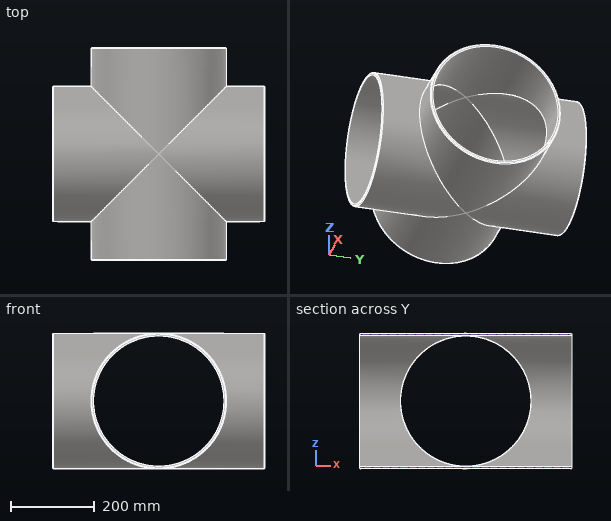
import cadquery as cq

outer_diameter = 323.85
wall = 6.35
overall_length = 508.0

bevel = wall / 3

outer_radius = outer_diameter / 2
inner_radius = outer_radius - wall


def outer_run(normal_plane):
    """Solid run through the centre, along the plane's normal, bevelled at both ends."""
    return (
        cq.Workplane(normal_plane)
        .circle(outer_radius)
        .extrude(overall_length / 2, both=True)
        .edges("%CIRCLE")
        .chamfer(bevel)
    )


def bore(normal_plane):
    """Straight bore through the full length of a run, along the plane's normal."""
    return (
        cq.Workplane(normal_plane)
        .circle(inner_radius)
        .extrude(overall_length / 2, both=True)
    )


x_run_plane = "YZ"
y_run_plane = "XZ"

body = outer_run(x_run_plane).union(outer_run(y_run_plane))
result = body.cut(bore(x_run_plane)).cut(bore(y_run_plane))